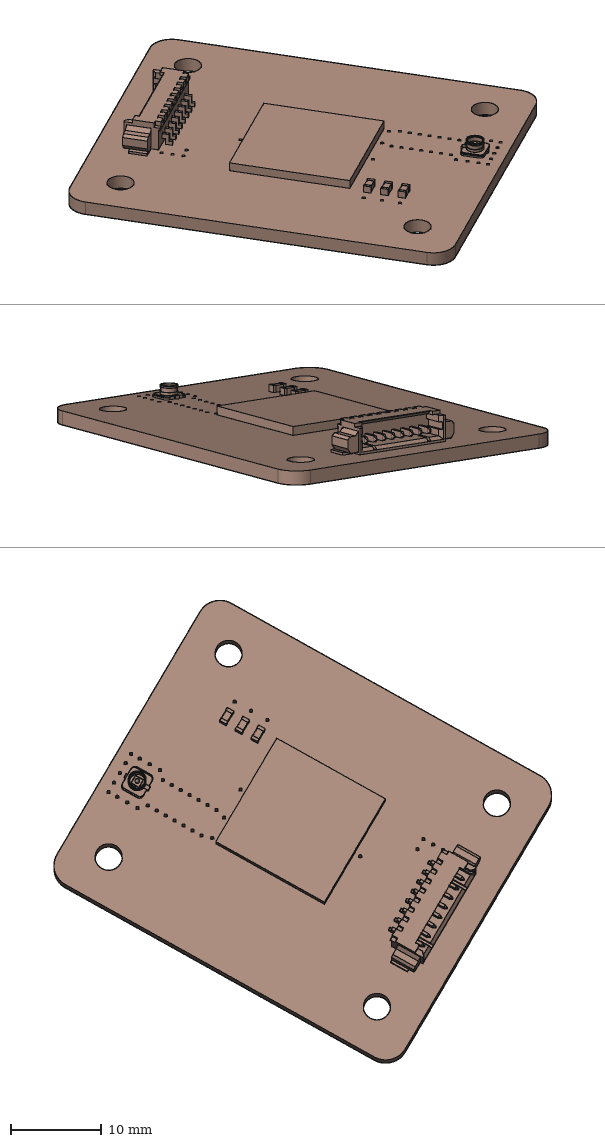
import cadquery as cq

board_length = 44.43
board_width = 36.88
board_thickness = 1.6
board_corner_radius = 2.54
mount_hole_diameter = 3.0
mount_hole_x = 17.1
mount_hole_y = 13.33
via_diameter = 0.35

trace_via_count = 7
trace_via_first_x = 9.42
trace_via_pitch = 1.14
trace_via_offset = 1.67
feed_via_offset = 1.33

frame_via_columns = (17.1, 18.41, 19.68, 20.78)
frame_via_offset = 2.5
frame_via_pitch = 1.29

module_via_left_x = -7.0
module_via_right_x = 8.25
module_via_y = -0.58
chip_via_first_x = 9.63
chip_via_pitch = 2.08
chip_via_y = -8.92
connector_via_count = 3
connector_via_first_x = -14.58
connector_via_pitch = 1.25
connector_via_y = -5.75
connector_single_via = (-12.08, -4.42)

module_length = 13.85
module_width = 13.55
module_height = 1.0
module_x = 0.65
module_y = -0.65

chip_count = 3
chip_pitch = 2.0
chip_first_x = 9.67
chip_y = -6.92
chip_width = 0.85
chip_length = 1.7
chip_height = 0.8
chip_cap_length = 0.35
chip_body_inset = 0.03

coax_x = 18.57
coax_y = 4.42
coax_base_side = 2.7
coax_base_height = 0.33
coax_base_corner = 0.5
coax_flange_width = 3.0
coax_flange_height = 0.2
coax_tab_width = 0.5
coax_signal_tab_reach = 1.53
coax_signal_tab_height = 0.38
coax_ground_tab_reach = 1.55
coax_barrel_diameter = 2.0
coax_neck_diameter = 1.86
coax_bore_diameter = 1.7
coax_pin_diameter = 0.5
coax_height = 1.35
coax_lip_height = 0.2
coax_groove_height = 0.5
coax_pin_height = 1.1
coax_insulator_side = 1.0
coax_insulator_height = 0.3

contact_count = 8
contact_pitch = 1.25
connector_y = 0.66
housing_front_x = -19.08
housing_back_x = -14.92
housing_length = 11.85
housing_height = 3.37
roof_thickness = 0.4
roof_front_setback = 1.0
roof_window_depth = 0.48
roof_window_length = 9.85
back_overhang = 0.16
back_overhang_height = 0.9
comb_notch_width = 0.5
comb_notch_depth = 0.66
end_notch_length = 0.45
notch_height = 0.57
cavity_length = 10.6
cavity_floor_height = 0.66
cavity_depth = 2.6
mouth_flare = 0.38
mouth_flare_depth = 0.38
roof_lead_in = 0.33
end_groove_bottom = 1.4
end_groove_height = 0.83
end_groove_depth = 0.3
lip_slot_width = 0.35
lip_slot_depth = 1.8
lip_slot_spacing = 7.52

contact_width = 0.33
contact_tip_width = 0.12
contact_bottom_height = 0.93
contact_pin_height = 0.7
contact_tip_x = -18.45
contact_taper_length = 0.35
contact_leg_x = -14.25
contact_foot_x = -13.9
contact_leg_thickness = 0.45
contact_leg_height = 1.3
contact_arm_thickness = 0.6

clip_front_x = -18.78
clip_back_x = -15.93
clip_root_height = 2.62
clip_height = 2.13
clip_shoulder_start = 0.42
clip_reach = 1.48
clip_corner_chamfer = 0.32
clip_undercut_height = 0.8
clip_bottom_reach = 1.1
clip_bottom_height = 0.25
clip_foot_front_x = -18.05
clip_foot_start = 0.25
clip_foot_reach = 1.65
clip_foot_height = 0.28

board_top = board_thickness
contact_span = (contact_count - 1) * contact_pitch
contact_places = [connector_y - contact_span / 2 + i * contact_pitch for i in range(contact_count)]
housing_top = board_top + housing_height


def block(x_range, y_range, z_range):
    """Box given by its limits along X, Y and Z."""
    (x0, x1), (y0, y1), (z0, z1) = x_range, y_range, z_range
    return cq.Workplane("XY").box(x1 - x0, y1 - y0, z1 - z0, centered=False).translate((x0, y0, z0))


def centred(middle, length):
    """Limits of a length centred on a middle."""
    return middle - length / 2, middle + length / 2


def via_places():
    """Centres of the plated through-holes."""
    places = []
    for side in (-1, 1):
        for i in range(trace_via_count):
            places.append((trace_via_first_x + i * trace_via_pitch, coax_y + side * trace_via_offset))
        places.append((module_via_right_x, coax_y + side * feed_via_offset))
        for x in frame_via_columns:
            places.append((x, coax_y + side * frame_via_offset))
    for i in (-1, 0, 1):
        places.append((frame_via_columns[-1], coax_y + i * frame_via_pitch))
    for x in (module_via_left_x, module_via_right_x):
        places.append((x, module_via_y))
    for i in range(chip_count):
        places.append((chip_via_first_x + i * chip_via_pitch, chip_via_y))
    for i in range(connector_via_count):
        places.append((connector_via_first_x + i * connector_via_pitch, connector_via_y))
    places.append(connector_single_via)
    return places


def make_board():
    board = cq.Workplane("XY").box(board_length, board_width, board_thickness, centered=(True, True, False))
    board = board.edges("|Z").fillet(board_corner_radius)
    mounts = [(sx * mount_hole_x, sy * mount_hole_y) for sx in (-1, 1) for sy in (-1, 1)]
    board = board.cut(
        cq.Workplane("XY").pushPoints(mounts).circle(mount_hole_diameter / 2).extrude(board_thickness)
    )
    vias = cq.Workplane("XY").pushPoints(via_places()).circle(via_diameter / 2).extrude(board_thickness)
    return board.cut(vias)


def make_module():
    return block(
        centred(module_x, module_length),
        centred(module_y, module_width),
        (board_top, board_top + module_height),
    )


def make_chip(x):
    """Chip with two end caps standing slightly proud of its body."""
    cap_middle = (chip_length - chip_cap_length) / 2
    chip = block(
        centred(x, chip_width - 2 * chip_body_inset),
        centred(chip_y, chip_length - chip_cap_length),
        (board_top, board_top + chip_height - chip_body_inset),
    )
    for side in (-1, 1):
        chip = chip.union(block(
            centred(x, chip_width),
            centred(chip_y + side * cap_middle, chip_cap_length),
            (board_top, board_top + chip_height),
        ))
    return chip


def coax_disc(diameter, bottom, top):
    """Upright cylinder on the socket axis."""
    return cq.Workplane("XY", origin=(0, 0, bottom)).circle(diameter / 2).extrude(top - bottom)


def coax_plate(width, height):
    """Base plate with rounded corners."""
    plate = block(centred(0, coax_base_side), centred(0, width), (0, height))
    return plate.edges("|Z").fillet(coax_base_corner)


def make_coax_socket():
    """Socket with a grooved barrel round a domed centre pin."""
    base = coax_plate(coax_flange_width, coax_flange_height)
    base = base.union(coax_plate(coax_base_side, coax_base_height))
    tab_limits = centred(0, coax_tab_width)
    signal_tab = block((-coax_signal_tab_reach, 0), tab_limits, (0, coax_signal_tab_height))
    ground_tab = block((0, coax_ground_tab_reach), tab_limits, (0, coax_flange_height))

    groove_top = coax_height - coax_lip_height
    groove_bottom = groove_top - coax_groove_height
    groove = coax_disc(coax_barrel_diameter, groove_bottom, groove_top).cut(
        coax_disc(coax_neck_diameter, groove_bottom, groove_top)
    )
    bore = coax_disc(coax_bore_diameter, coax_base_height, coax_height)
    barrel = coax_disc(coax_barrel_diameter, 0, coax_height).cut(groove)

    insulator_top = coax_base_height + coax_insulator_height
    insulator = block(
        centred(0, coax_insulator_side), centred(0, coax_insulator_side), (coax_base_height, insulator_top)
    )
    pin_radius = coax_pin_diameter / 2
    dome_base = coax_pin_height - pin_radius
    pin = coax_disc(coax_pin_diameter, 0, dome_base)
    dome = cq.Workplane("XY", origin=(0, 0, dome_base)).sphere(pin_radius)

    socket = base.union(signal_tab).union(ground_tab).union(barrel).cut(bore)
    socket = socket.union(insulator).union(pin).union(dome)
    return socket.translate((coax_x, coax_y, board_top))


def housing_shell():
    """Housing with a front-stepped roof and an overhang along its back."""
    wall_top = housing_top - roof_thickness
    roof_front = housing_front_x + roof_front_setback
    wall_back = housing_back_x - back_overhang
    overhang_bottom = housing_top - back_overhang_height
    return (
        cq.Workplane("XZ")
        .moveTo(housing_front_x, board_top)
        .lineTo(housing_front_x, wall_top)
        .lineTo(roof_front, wall_top)
        .lineTo(roof_front, housing_top)
        .lineTo(housing_back_x, housing_top)
        .lineTo(housing_back_x, overhang_bottom)
        .lineTo(wall_back, overhang_bottom)
        .lineTo(wall_back, board_top)
        .close()
        .extrude(housing_length / 2, both=True)
        .translate((0, connector_y, 0))
    )


def housing_cavity():
    """Plug cavity with a flared mouth and a window through the front of the roof."""
    floor = board_top + cavity_floor_height
    ceiling = housing_top - roof_thickness
    height = ceiling - floor
    cavity = block(
        (housing_front_x, housing_front_x + cavity_depth),
        centred(connector_y, cavity_length),
        (floor, ceiling),
    )
    flare = (
        cq.Workplane("YZ", origin=(housing_front_x, connector_y, ceiling))
        .rect(cavity_length + 2 * mouth_flare, 2 * (height + mouth_flare))
        .workplane(offset=mouth_flare_depth)
        .rect(cavity_length, 2 * height)
        .loft(combine=True)
    )
    window_back = housing_front_x + roof_front_setback + roof_window_depth
    window = block(
        (housing_front_x, window_back), centred(connector_y, roof_window_length), (ceiling, housing_top)
    )
    lead_in = (
        cq.Workplane("XZ")
        .moveTo(window_back, ceiling)
        .lineTo(window_back + roof_lead_in, ceiling)
        .lineTo(window_back, ceiling + roof_lead_in)
        .close()
        .extrude(roof_window_length / 2, both=True)
        .translate((0, connector_y, 0))
    )
    end_grooves = block(
        (housing_front_x, housing_front_x + cavity_depth),
        centred(connector_y, cavity_length + 2 * end_groove_depth),
        (board_top + end_groove_bottom, board_top + end_groove_bottom + end_groove_height),
    )
    cavity = cavity.union(flare).union(window).union(lead_in).union(end_grooves)
    for side in (-1, 1):
        cavity = cavity.union(block(
            (housing_front_x, housing_front_x + lip_slot_depth),
            centred(connector_y + side * lip_slot_spacing / 2, lip_slot_width),
            (floor - mouth_flare, ceiling),
        ))
    return cavity


def back_notches():
    """Comb of notches above the contacts, and lowered corners at both ends."""
    x_range = (housing_back_x - comb_notch_depth, housing_back_x)
    z_range = (housing_top - notch_height, housing_top)
    end_offset = (housing_length - end_notch_length) / 2
    notches = [block(x_range, centred(y, comb_notch_width), z_range) for y in contact_places]
    for side in (-1, 1):
        notches.append(block(x_range, centred(connector_y + side * end_offset, end_notch_length), z_range))
    return notches


def contact(y):
    """Tapered pin in the cavity, with a bent leg and a foot behind the housing."""
    pin_bottom = board_top + contact_bottom_height
    pin_top = pin_bottom + contact_pin_height
    pin_middle = (pin_bottom + pin_top) / 2
    taper_end = contact_tip_x + contact_taper_length
    leg_top = board_top + contact_leg_height
    inner_x = contact_leg_x - contact_leg_thickness
    width = centred(y, contact_width)
    tip = (
        cq.Workplane("YZ", origin=(contact_tip_x, y, pin_middle))
        .rect(contact_tip_width, contact_tip_width)
        .workplane(offset=contact_taper_length)
        .rect(contact_width, contact_pin_height)
        .loft(combine=True)
    )
    pin = block((taper_end, housing_front_x + cavity_depth), width, (pin_bottom, pin_top))
    arm = block(
        (housing_back_x - comb_notch_depth, contact_leg_x), width, (leg_top - contact_arm_thickness, leg_top)
    )
    leg = block((inner_x, contact_leg_x), width, (board_top, leg_top))
    foot = block((inner_x, contact_foot_x), width, (board_top, board_top + contact_leg_thickness))
    return tip.union(pin).union(arm).union(leg).union(foot)


def solder_clip(side):
    """Clip on one housing end, with sloped shoulders, an undercut and a flat foot."""
    clip = (
        cq.Workplane("YZ", origin=(clip_front_x, 0, board_top))
        .moveTo(0, clip_root_height)
        .lineTo(clip_shoulder_start, clip_height)
        .lineTo(clip_reach - clip_corner_chamfer, clip_height)
        .lineTo(clip_reach, clip_height - clip_corner_chamfer)
        .lineTo(clip_reach, clip_undercut_height)
        .lineTo(clip_bottom_reach, clip_bottom_height)
        .lineTo(0, clip_bottom_height)
        .close()
        .extrude(clip_back_x - clip_front_x)
    )
    foot = block(
        (clip_foot_front_x, clip_back_x),
        (clip_foot_start, clip_foot_reach),
        (board_top, board_top + clip_foot_height),
    )
    clip = clip.union(foot).translate((0, housing_length / 2, 0))
    if side < 0:
        clip = clip.mirror("XZ")
    return clip.translate((0, connector_y, 0))


def make_connector():
    connector = housing_shell().cut(housing_cavity())
    for notch in back_notches():
        connector = connector.cut(notch)
    for y in contact_places:
        connector = connector.union(contact(y))
    for side in (-1, 1):
        connector = connector.union(solder_clip(side))
    return connector


board = make_board()
module = make_module()
chips = [make_chip(chip_first_x + i * chip_pitch) for i in range(chip_count)]
coax_socket = make_coax_socket()
connector = make_connector()

result = cq.Compound.makeCompound(
    [board.val(), module.val(), *[chip.val() for chip in chips], coax_socket.val(), connector.val()]
)